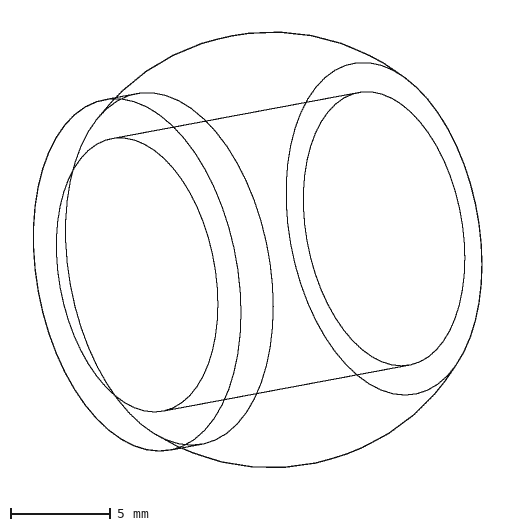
import cadquery as cq
import math

ball_radius = 11.0
collar_radius = 9.0
bore_radius = 7.0
collar_length = 2.0
flat_face_y = 7.0

flat_face_radius = math.sqrt(ball_radius**2 - flat_face_y**2)
collar_start_y = -math.sqrt(ball_radius**2 - collar_radius**2)
collar_end_y = collar_start_y - collar_length

half_section = (
    cq.Workplane("XY")
    .moveTo(bore_radius, flat_face_y)
    .lineTo(flat_face_radius, flat_face_y)
    .threePointArc((ball_radius, 0), (collar_radius, collar_start_y))
    .lineTo(collar_radius, collar_end_y)
    .lineTo(bore_radius, collar_end_y)
    .close()
)

result = half_section.revolve(360, (0, 0, 0), (0, 1, 0))